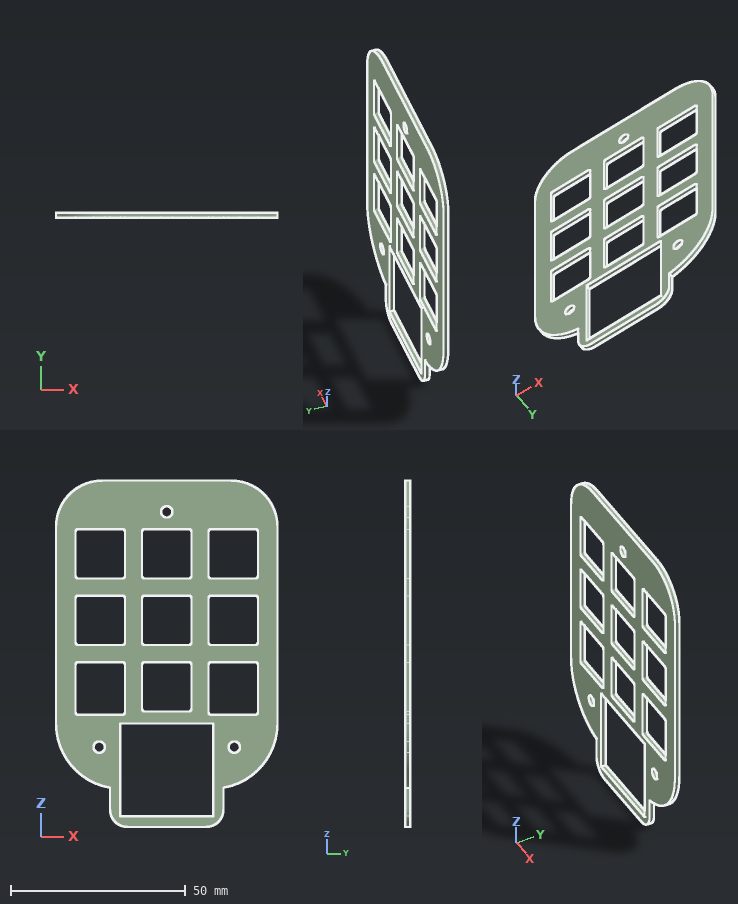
import cadquery as cq
import math


plate_width = 63.54
plate_height = 99.3
thickness = 1.5
top_corner_radius = 13.3
shoulder_radius = 18.75
shoulder_start_depth = 69.6

display_size = 26.55
display_side_border = 3.0
display_bottom_border = 3.1
tab_width = display_size + 2 * display_side_border
tab_corner_radius = 5.0

key_size = 14.05
key_pitch = 19.05
key_corner_radius = 0.6
first_row_depth = 14.0
tall_key_height = 15.0
columns = 3
rows = 3

hole_diameter = 3.2
top_hole_depth = 9.0
lower_hole_depth = 76.4
lower_hole_spacing = 38.7


def through_sheet(profile):
    """Extrude a closed profile on the front face back through the sheet."""
    return profile.extrude(-thickness)


def plate_blank():
    half_width = plate_width / 2
    half_tab = tab_width / 2
    arc_diagonal = math.sqrt(0.5)

    top_center_x = half_width - top_corner_radius
    top_mid_x = top_center_x + top_corner_radius * arc_diagonal
    top_mid_z = -top_corner_radius * (1 - arc_diagonal)

    shoulder_center_x = half_width - shoulder_radius
    shoulder_end_angle = math.acos((half_tab - shoulder_center_x) / shoulder_radius)
    shoulder_end_z = -shoulder_start_depth - shoulder_radius * math.sin(shoulder_end_angle)
    shoulder_mid_x = shoulder_center_x + shoulder_radius * math.cos(shoulder_end_angle / 2)
    shoulder_mid_z = -shoulder_start_depth - shoulder_radius * math.sin(shoulder_end_angle / 2)

    tab_center_x = half_tab - tab_corner_radius
    tab_center_z = -plate_height + tab_corner_radius
    tab_mid_x = tab_center_x + tab_corner_radius * arc_diagonal
    tab_mid_z = tab_center_z - tab_corner_radius * arc_diagonal

    right_half = (
        cq.Workplane("XZ")
        .moveTo(0, 0)
        .lineTo(top_center_x, 0)
        .threePointArc((top_mid_x, top_mid_z), (half_width, -top_corner_radius))
        .lineTo(half_width, -shoulder_start_depth)
        .threePointArc((shoulder_mid_x, shoulder_mid_z), (half_tab, shoulder_end_z))
        .lineTo(half_tab, tab_center_z)
        .threePointArc((tab_mid_x, tab_mid_z), (tab_center_x, -plate_height))
        .lineTo(0, -plate_height)
    )
    return through_sheet(right_half.mirrorY())


def key_window(column, row):
    is_outer = column in (0, columns - 1)
    is_last_row = row == rows - 1
    height = tall_key_height if is_outer and is_last_row else key_size
    center_x = (column - (columns - 1) / 2) * key_pitch
    center_z = -first_row_depth - row * key_pitch - height / 2
    window = through_sheet(cq.Workplane("XZ").center(center_x, center_z).rect(key_size, height))
    return window.edges("|Y").fillet(key_corner_radius)


def display_window():
    center_z = -plate_height + display_bottom_border + display_size / 2
    return through_sheet(cq.Workplane("XZ").center(0, center_z).rect(display_size, display_size))


def screw_holes():
    centers = [
        (0, -top_hole_depth),
        (-lower_hole_spacing / 2, -lower_hole_depth),
        (lower_hole_spacing / 2, -lower_hole_depth),
    ]
    return through_sheet(cq.Workplane("XZ").pushPoints(centers).circle(hole_diameter / 2))


result = plate_blank()
for row in range(rows):
    for column in range(columns):
        result = result.cut(key_window(column, row))
result = result.cut(display_window())
result = result.cut(screw_holes())